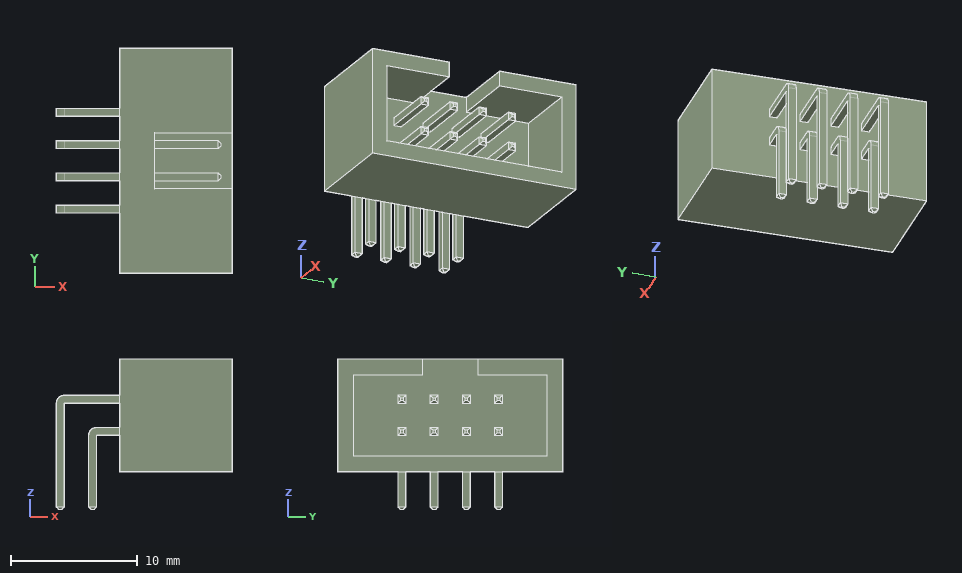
import cadquery as cq

HOUSING_WIDTH = 17.78
HOUSING_DEPTH = 8.89
HOUSING_HEIGHT = 8.9
WALL = 1.26
CAVITY_DEPTH = 6.12
NOTCH_WIDTH = 4.4

PITCH = 2.55
ROWS = 2
PINS_PER_ROW = 4
PIN_SIZE = 0.64
BEND_RADIUS = PIN_SIZE
TIP_CHAMFER = 0.21
TIP_RECESS = 0.9
TAIL_REACH = 5.0
TAIL_DROP = 2.99

PIN_END_X = HOUSING_DEPTH - TIP_RECESS


def make_housing():
    body = cq.Workplane("XY").box(
        HOUSING_DEPTH, HOUSING_WIDTH, HOUSING_HEIGHT, centered=(False, True, False)
    )
    cavity_start = HOUSING_DEPTH - CAVITY_DEPTH
    cavity = cq.Workplane("XY").box(
        CAVITY_DEPTH,
        HOUSING_WIDTH - 2 * WALL,
        HOUSING_HEIGHT - 2 * WALL,
        centered=(False, True, False),
    ).translate((cavity_start, 0, WALL))
    notch = cq.Workplane("XY").box(
        CAVITY_DEPTH, NOTCH_WIDTH, WALL, centered=(False, True, False)
    ).translate((cavity_start, 0, HOUSING_HEIGHT - WALL))
    return body.cut(cavity).cut(notch)


def make_pin(tail_x, top_z, center_y):
    """Right-angle pin with its outer corner at (tail_x, top_z) and both ends chamfered."""
    pin = (
        cq.Workplane("XZ", origin=(0, center_y, 0))
        .moveTo(tail_x, -TAIL_DROP)
        .lineTo(tail_x, top_z - BEND_RADIUS)
        .radiusArc((tail_x + BEND_RADIUS, top_z), BEND_RADIUS)
        .lineTo(PIN_END_X, top_z)
        .lineTo(PIN_END_X, top_z - PIN_SIZE)
        .lineTo(tail_x + PIN_SIZE, top_z - PIN_SIZE)
        .lineTo(tail_x + PIN_SIZE, -TAIL_DROP)
        .close()
        .extrude(PIN_SIZE / 2, both=True)
    )
    pin = pin.faces(">X").edges().chamfer(TIP_CHAMFER)
    return pin.faces("<Z").edges().chamfer(TIP_CHAMFER)


result = make_housing()
for row in range(ROWS):
    tail_x = -TAIL_REACH + row * PITCH
    top_z = (HOUSING_HEIGHT + PIN_SIZE) / 2 + ((ROWS - 1) / 2 - row) * PITCH
    for column in range(PINS_PER_ROW):
        center_y = (column - (PINS_PER_ROW - 1) / 2) * PITCH
        result = result.union(make_pin(tail_x, top_z, center_y))